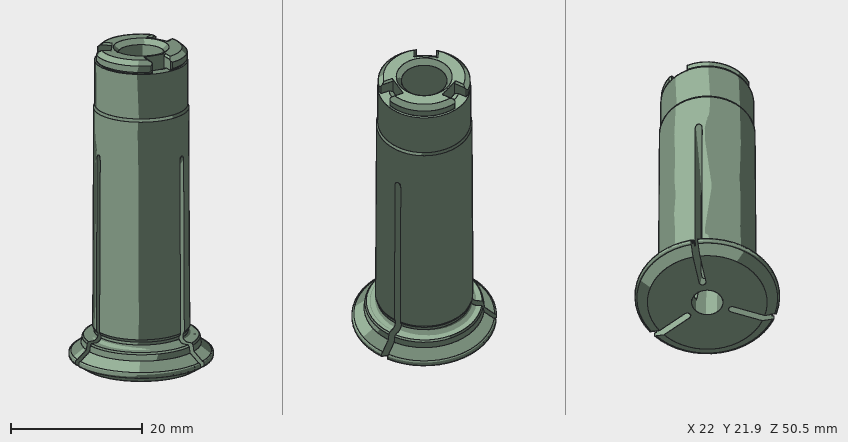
import cadquery as cq
import math

LENGTH = 50.5
FLANGE_RADIUS = 21.95 / 2

TOP_FACE_RADIUS = 6.2
RIM_RADIUS = 14.0 / 2
RIM_UNDERCUT_RADIUS = 6.7
RIM_TOP_Z = 49.8
RIM_BOTTOM_Z = 48.8
NECK_RADIUS = 7.05
NECK_TOP_Z = 48.5
NECK_BOTTOM_Z = 41.35

SLEEVE_TOP_RADIUS = 7.25
SLEEVE_TOP_Z = 40.9
SLEEVE_BOTTOM_RADIUS = 7.4
SLEEVE_BOTTOM_Z = 6.1
LIP_RADIUS = 7.3
LIP_Z = 5.85
RELIEF_RADIUS = 7.15
RELIEF_TOP_Z = 5.65
FILLET_TOP_Z = 5.2
FILLET_FOOT_RADIUS = 8.25

COLLAR_TOP_RADIUS = 9.0
COLLAR_BOTTOM_RADIUS = 9.15
COLLAR_TOP_Z = 4.55
COLLAR_BOTTOM_Z = 3.3
COLLAR_CHAMFER_WIDTH = 0.2
COLLAR_CHAMFER_HEIGHT = 0.3
FLANGE_MID_Z = 1.5
FLANGE_EDGE_HEIGHT = 0.3
FLANGE_EDGE_ROUND = 0.3
FLANGE_BOTTOM_RADIUS = 9.1

BORE_RADIUS = 4.75 / 2
TOP_BORE_RADIUS = 6.9 / 2
TOP_BORE_DEPTH = 10.1
TOP_BORE_CHAMFER_RADIUS = 8.5 / 2
DRILL_POINT_ANGLE = 118.0

SLOT_ANGLES = (30, 150, 270)
SLOT_WIDTH = 1.05
SAW_RADIUS = 34.85
SAW_CENTRE_Z = 13.85
SAW_CENTRE_OFFSET = 35.45

NOTCH_ANGLES = (0, 120, 240)
NOTCH_WIDTH = 3.1
NOTCH_INNER_RADIUS = 4.5
NOTCH_EDGE_CHAMFER = 0.3
NOTCH_CORNER_CHAMFER_DEPTH = 0.15
POCKET_RADIUS = 10.9 / 2
POCKET_SLOPE_ANGLE = 30.0


def make_body():
    """Revolve the solid outline, from the bottom centre outwards and up to the top face."""
    quarter_arc_drop = 1 - math.sqrt(0.5)

    edge_end = FLANGE_EDGE_HEIGHT / 2
    cone_end = edge_end + FLANGE_EDGE_ROUND
    cone_radius = FLANGE_RADIUS - FLANGE_EDGE_ROUND
    round_mid = cone_end - FLANGE_EDGE_ROUND * quarter_arc_drop
    round_mid_radius = FLANGE_RADIUS - FLANGE_EDGE_ROUND * quarter_arc_drop

    fillet_mid = (
        RELIEF_RADIUS + (FILLET_FOOT_RADIUS - RELIEF_RADIUS) * quarter_arc_drop,
        COLLAR_TOP_Z + (FILLET_TOP_Z - COLLAR_TOP_Z) * quarter_arc_drop,
    )
    return (
        cq.Workplane("XZ")
        .lineTo(FLANGE_BOTTOM_RADIUS, 0)
        .lineTo(cone_radius, FLANGE_MID_Z - cone_end)
        .threePointArc((round_mid_radius, FLANGE_MID_Z - round_mid), (FLANGE_RADIUS, FLANGE_MID_Z - edge_end))
        .lineTo(FLANGE_RADIUS, FLANGE_MID_Z + edge_end)
        .threePointArc((round_mid_radius, FLANGE_MID_Z + round_mid), (cone_radius, FLANGE_MID_Z + cone_end))
        .lineTo(COLLAR_BOTTOM_RADIUS, COLLAR_BOTTOM_Z)
        .lineTo(COLLAR_TOP_RADIUS, COLLAR_TOP_Z - COLLAR_CHAMFER_HEIGHT)
        .lineTo(COLLAR_TOP_RADIUS - COLLAR_CHAMFER_WIDTH, COLLAR_TOP_Z)
        .lineTo(FILLET_FOOT_RADIUS, COLLAR_TOP_Z)
        .threePointArc(fillet_mid, (RELIEF_RADIUS, FILLET_TOP_Z))
        .lineTo(RELIEF_RADIUS, RELIEF_TOP_Z)
        .lineTo(LIP_RADIUS, LIP_Z)
        .lineTo(SLEEVE_BOTTOM_RADIUS, SLEEVE_BOTTOM_Z)
        .lineTo(SLEEVE_TOP_RADIUS, SLEEVE_TOP_Z)
        .lineTo(NECK_RADIUS, NECK_BOTTOM_Z)
        .lineTo(NECK_RADIUS, NECK_TOP_Z)
        .lineTo(RIM_UNDERCUT_RADIUS, NECK_TOP_Z)
        .lineTo(RIM_RADIUS, RIM_BOTTOM_Z)
        .lineTo(RIM_RADIUS, RIM_TOP_Z)
        .lineTo(TOP_FACE_RADIUS, LENGTH)
        .lineTo(0, LENGTH)
        .close()
        .revolve(360, (0, 0, 0), (0, 1, 0))
    )


def make_bore():
    """Through hole, drilled wider from the top with a conical end and a chamfered mouth."""
    top_bore_z = LENGTH - TOP_BORE_DEPTH
    cone_height = (TOP_BORE_RADIUS - BORE_RADIUS) / math.tan(math.radians(DRILL_POINT_ANGLE / 2))
    mouth_depth = TOP_BORE_CHAMFER_RADIUS - TOP_BORE_RADIUS
    return (
        cq.Workplane("XZ")
        .lineTo(BORE_RADIUS, 0)
        .lineTo(BORE_RADIUS, top_bore_z - cone_height)
        .lineTo(TOP_BORE_RADIUS, top_bore_z)
        .lineTo(TOP_BORE_RADIUS, LENGTH - mouth_depth)
        .lineTo(TOP_BORE_CHAMFER_RADIUS, LENGTH)
        .lineTo(0, LENGTH)
        .close()
        .revolve(360, (0, 0, 0), (0, 1, 0))
    )


def make_saw():
    """Disc with a half-round edge, standing on the +X side and cutting towards the axis."""
    half_width = SLOT_WIDTH / 2
    flat_radius = SAW_RADIUS - half_width
    return (
        cq.Workplane("XY")
        .moveTo(0, -half_width)
        .lineTo(flat_radius, -half_width)
        .threePointArc((SAW_RADIUS, 0), (flat_radius, half_width))
        .lineTo(0, half_width)
        .close()
        .revolve(360, (0, 0, 0), (0, 1, 0))
        .translate((SAW_CENTRE_OFFSET, 0, SAW_CENTRE_Z))
    )


def make_notch():
    """Notch on the +X side: flat inner wall, chamfered edges and a sloped pocket in its floor."""
    half_width = NOTCH_WIDTH / 2
    wide_half_width = half_width + NOTCH_EDGE_CHAMFER
    chamfer_z = LENGTH - NOTCH_EDGE_CHAMFER
    notch_length = FLANGE_RADIUS - NOTCH_INNER_RADIUS

    channel = (
        cq.Workplane("YZ", origin=(NOTCH_INNER_RADIUS, 0, 0))
        .moveTo(-half_width, NECK_TOP_Z)
        .lineTo(-half_width, chamfer_z)
        .lineTo(-wide_half_width, LENGTH)
        .lineTo(wide_half_width, LENGTH)
        .lineTo(half_width, chamfer_z)
        .lineTo(half_width, NECK_TOP_Z)
        .close()
        .extrude(notch_length)
    )

    rim_corner_x = math.sqrt(RIM_RADIUS**2 - wide_half_width**2)
    corner_start_x = rim_corner_x - NOTCH_CORNER_CHAMFER_DEPTH
    corners = (
        cq.Workplane("XY", origin=(0, 0, NECK_TOP_Z))
        .moveTo(corner_start_x, -half_width)
        .lineTo(rim_corner_x, -wide_half_width)
        .lineTo(FLANGE_RADIUS, -wide_half_width)
        .lineTo(FLANGE_RADIUS, wide_half_width)
        .lineTo(rim_corner_x, wide_half_width)
        .lineTo(corner_start_x, half_width)
        .close()
        .extrude(LENGTH - NECK_TOP_Z)
    )

    pocket_depth = (POCKET_RADIUS - NOTCH_INNER_RADIUS) * math.tan(math.radians(POCKET_SLOPE_ANGLE))
    pocket_cone = (
        cq.Workplane("XZ")
        .moveTo(0, NECK_TOP_Z - pocket_depth)
        .lineTo(NOTCH_INNER_RADIUS, NECK_TOP_Z - pocket_depth)
        .lineTo(POCKET_RADIUS, NECK_TOP_Z)
        .lineTo(0, NECK_TOP_Z)
        .close()
        .revolve(360, (0, 0, 0), (0, 1, 0))
    )
    pocket_limits = (
        cq.Workplane("XY", origin=(NOTCH_INNER_RADIUS, 0, 0))
        .box(notch_length, NOTCH_WIDTH, LENGTH, centered=(False, True, False))
    )
    pocket = pocket_cone.intersect(pocket_limits)

    return channel.union(corners).union(pocket)


def cut_around_axis(body, cutter, angles):
    """Cut the same tool at each angle about the Z axis."""
    for angle in angles:
        body = body.cut(cutter.rotate((0, 0, 0), (0, 0, 1), angle))
    return body


result = make_body().cut(make_bore())
result = cut_around_axis(result, make_saw(), SLOT_ANGLES)
result = cut_around_axis(result, make_notch(), NOTCH_ANGLES)